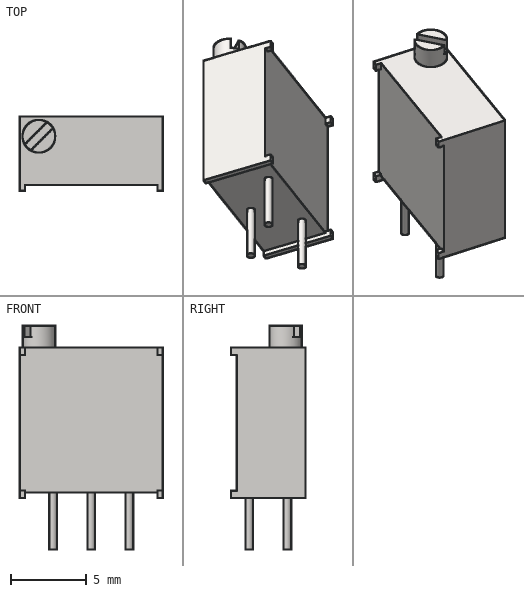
import cadquery as cq

total_height = 14.91
case_width = 9.53
case_depth = 4.97

screw_height = 1.46
pin_exposed = 3.43
rail_drop = 0.37
pad_width = 0.37
pad_depth = 0.39
pad_height = 0.5
case_top = total_height - screw_height
rail_bottom = pin_exposed
floor_z = rail_bottom + rail_drop
block_depth = case_depth - pad_depth
side_offset = (case_width - pad_width) / 2

screw_diameter = 2.18
screw_inset = 1.28
screw_x = -case_width / 2 + screw_inset
screw_y = -1.33
slot_width = 0.57
slot_depth = 0.76
slot_angle = 45.0

pin_diameter = 0.52
pin_pitch = 2.53
middle_pin_y = -1.21
outer_pin_y = middle_pin_y - pin_pitch
pin_positions = [(-pin_pitch, outer_pin_y), (0, middle_pin_y), (pin_pitch, outer_pin_y)]


def box(width, depth, height, x, back_y, bottom_z):
    """A box centred on x, reaching forward from back_y and up from bottom_z."""
    return cq.Workplane("XY").box(width, depth, height, centered=(True, False, False)).translate(
        (x, back_y - depth, bottom_z)
    )


def make_housing():
    """Rectangular block with two standoff rails and four pads at the front corners."""
    housing = box(case_width, block_depth, case_top - floor_z, 0, 0, floor_z)
    for x in (-side_offset, side_offset):
        housing = housing.union(box(pad_width, block_depth, rail_drop, x, 0, rail_bottom))
        for pad_bottom in (rail_bottom, case_top - pad_height):
            pad = box(pad_width, pad_depth, pad_height, x, -block_depth, pad_bottom)
            housing = housing.union(pad)
    return housing


def make_screw():
    """Round screw head with a driver slot across its top."""
    head = cq.Workplane("XY").circle(screw_diameter / 2).extrude(screw_height)
    slot = (
        cq.Workplane("XY", origin=(0, 0, screw_height))
        .transformed(rotate=(0, 0, slot_angle))
        .rect(2 * screw_diameter, slot_width)
        .extrude(-slot_depth)
    )
    return head.cut(slot).translate((screw_x, screw_y, case_top))


def make_pin(x, y):
    """Straight round pin reaching up to the housing floor."""
    return cq.Workplane("XY", origin=(x, y, 0)).circle(pin_diameter / 2).extrude(floor_z)


housing = make_housing()
screw = make_screw()
pins = [make_pin(x, y) for x, y in pin_positions]

result = cq.Compound.makeCompound([housing.val(), screw.val(), *[pin.val() for pin in pins]])